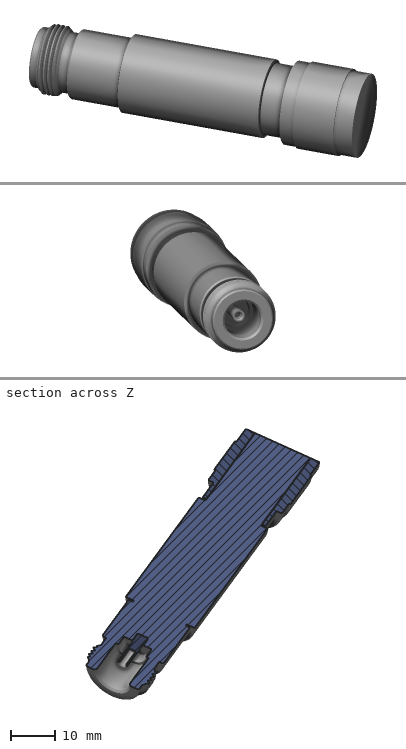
import cadquery as cq
import math


body_length = 77.0
thread_start = 1.6
thread_end = 7.0
flange_start = 9.25
flange_end = 21.3
barrel_start = 21.6
barrel_end = 54.7
nut_start = 55.0
collar_start = 59.9
grip_start = 63.15
grip_end = 72.7

tip_radius = 6.9
thread_radius = 8.1
flange_radius = 8.0
barrel_radius = 9.0
stub_radius = 7.3
nut_neck_radius = 8.25
collar_radius = 9.6
grip_diameter = 19.95
grip_radius = grip_diameter / 2

tip_chamfer = 0.3
flange_chamfer = 0.3

bore_radius = 4.2
bore_depth = 9.0
mouth_chamfer = 0.5
inner_bore_radius = 3.55
inner_bore_depth = 11.55

crest_steps = 4
crest_steps_length = 4.2
thread_pitch = crest_steps_length / crest_steps
thread_depth = 0.8
thread_angle = 60.0
groove_start = 0.5
groove_turns = 7.5
groove_overshoot = 0.1
rod_overhang = 1.55

contact_radius = 1.3
contact_tip = 4.6
contact_seat_depth = 2.3
contact_hole_radius = 0.8
contact_hole_depth = 4.6
contact_mouth_chamfer = 0.2


def revolve_about_x(points):
    """Revolve a closed (x, radius) outline about the X axis."""
    return cq.Workplane("XY").polyline(points).close().revolve(360, (0, 0, 0), (1, 0, 0))


def cylinder_along_x(start, end, radius):
    return cq.Workplane("YZ", origin=(start, 0, 0)).circle(radius).extrude(end - start)


def make_thread_groove():
    """Helical V groove, swept about Z and then laid along X."""
    root_radius = thread_radius - thread_depth
    rim_radius = thread_radius + groove_overshoot
    half_width = (rim_radius - root_radius) * math.tan(math.radians(thread_angle / 2))
    helix = cq.Wire.makeHelix(thread_pitch, groove_turns * thread_pitch, thread_radius)
    groove = (
        cq.Workplane("XZ")
        .polyline([(root_radius, 0), (rim_radius, half_width), (rim_radius, -half_width)])
        .close()
        .sweep(cq.Workplane(helix), isFrenet=True)
    )
    return groove.rotate((0, 0, 0), (0, 1, 0), 90).translate((groove_start, 0, 0))


def make_threaded_band():
    """Threaded ring with beveled ends: a grooved rod trimmed to the beveled outline."""
    bevel = thread_radius - tip_radius
    grooved_rod = cylinder_along_x(-rod_overhang, flange_start + rod_overhang, thread_radius).cut(
        make_thread_groove(), clean=False
    )
    beveled_outline = revolve_about_x([
        (thread_start, 0),
        (thread_start, tip_radius),
        (thread_start + bevel, thread_radius),
        (thread_end - bevel, thread_radius),
        (thread_end, tip_radius),
        (thread_end, 0),
    ])
    return grooved_rod.intersect(beveled_outline, clean=False)


def make_socket_cavity():
    return revolve_about_x([
        (0, 0),
        (0, bore_radius + mouth_chamfer),
        (mouth_chamfer, bore_radius),
        (bore_depth, bore_radius),
        (bore_depth, inner_bore_radius),
        (inner_bore_depth, inner_bore_radius),
        (inner_bore_depth, 0),
    ])


def make_body():
    body = revolve_about_x([
        (0, 0),
        (0, tip_radius - tip_chamfer),
        (tip_chamfer, tip_radius),
        (flange_start, tip_radius),
        (flange_start, flange_radius - flange_chamfer),
        (flange_start + flange_chamfer, flange_radius),
        (flange_end, flange_radius),
        (flange_end, tip_radius),
        (barrel_start, tip_radius),
        (barrel_start, barrel_radius),
        (barrel_end, barrel_radius),
        (barrel_end, stub_radius),
        (body_length, stub_radius),
        (body_length, 0),
    ])
    contact_seat = cylinder_along_x(inner_bore_depth, inner_bore_depth + contact_seat_depth, contact_radius)
    body = body.union(make_threaded_band(), clean=False)
    return body.cut(make_socket_cavity()).cut(contact_seat).solids()


def make_coupling_nut():
    """Stepped sleeve around the stub of the body."""
    return revolve_about_x([
        (nut_start, stub_radius),
        (nut_start, nut_neck_radius),
        (collar_start, nut_neck_radius),
        (collar_start, collar_radius),
        (grip_start, collar_radius),
        (grip_start, grip_radius),
        (grip_end, grip_radius),
        (grip_end, collar_radius),
        (body_length, collar_radius),
        (body_length, stub_radius),
    ])


def make_center_contact():
    """Round contact with a chamfered blind hole in its tip."""
    contact_end = inner_bore_depth + contact_seat_depth
    hole_end = contact_tip + contact_hole_depth
    return revolve_about_x([
        (contact_tip, contact_hole_radius + contact_mouth_chamfer),
        (contact_tip, contact_radius),
        (contact_end, contact_radius),
        (contact_end, 0),
        (hole_end, 0),
        (hole_end, contact_hole_radius),
        (contact_tip + contact_mouth_chamfer, contact_hole_radius),
    ])


body = make_body()
coupling_nut = make_coupling_nut()
center_contact = make_center_contact()

result = cq.Compound.makeCompound([body.val(), coupling_nut.val(), center_contact.val()])